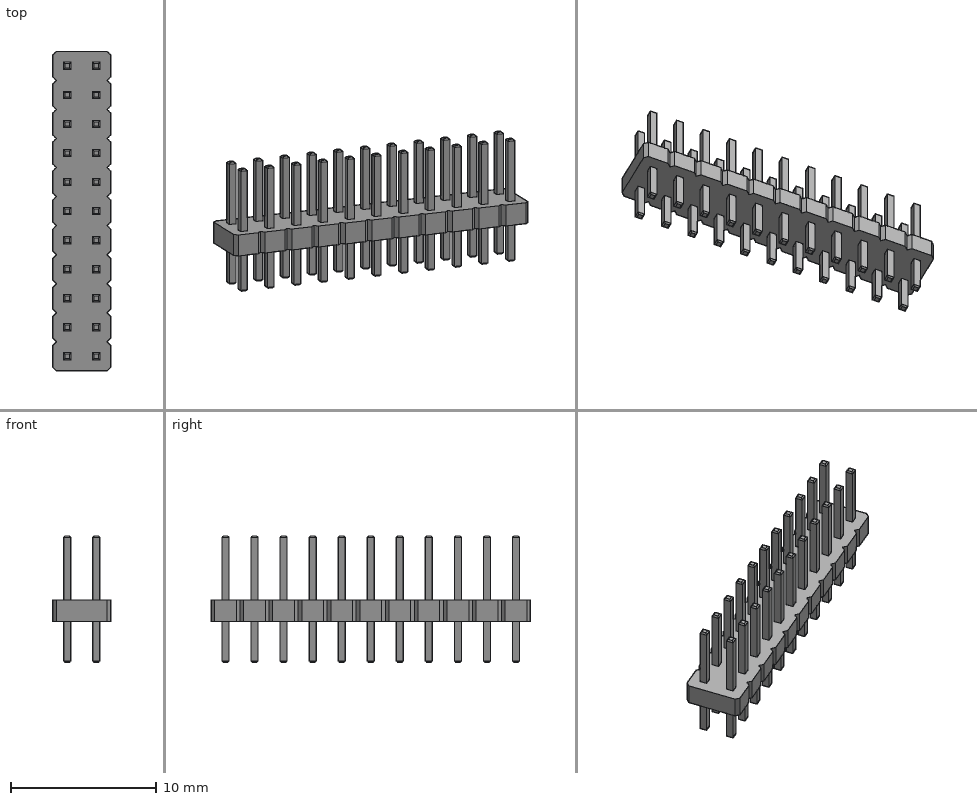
import cadquery as cq

pitch = 2.0
columns = 2
rows = 11
body_height = 1.5
corner_chamfer = 0.25
pin_width = 0.5
pin_above_body = 4.4
pin_below_body = 2.8
pin_tip_chamfer = 0.1

body_width = columns * pitch
body_length = rows * pitch
pin_length = pin_below_body + body_height + pin_above_body


def make_body():
    """Insulator strip: one chamfered cell per row, so V notches form between rows."""
    cell = (
        cq.Workplane("XY")
        .box(body_width, pitch, body_height, centered=(True, True, False))
        .edges("|Z")
        .chamfer(corner_chamfer)
    )
    first_row_y = (pitch - body_length) / 2
    body = cell.translate((0, first_row_y, 0))
    for row in range(1, rows):
        body = body.union(cell.translate((0, first_row_y + row * pitch, 0)))
    return body.clean()


def make_pins():
    """Square pins through the body, with both tips chamfered."""
    pin = (
        cq.Workplane("XY")
        .box(pin_width, pin_width, pin_length, centered=(True, True, False))
        .faces("<Z or >Z")
        .chamfer(pin_tip_chamfer)
        .translate((0, 0, -pin_below_body))
    )
    return (
        cq.Workplane("XY")
        .rarray(pitch, pitch, columns, rows)
        .eachpoint(lambda location: pin.val().moved(location))
    )


result = make_body().union(make_pins())